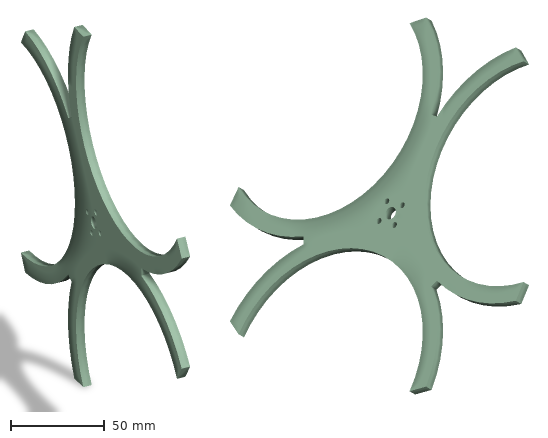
import cadquery as cq
import math

height = 217.8
thickness = 5.0

bite_count = 3
bite_pitch = 360 / bite_count
first_bite_angle = 60.0
bite_centre_distance = 87.8
bite_radius = 65.1
prong_outer_radius = 75.0
fork_floor_distance = 57.3

hub_hole_diameter = 7.0
bolt_hole_diameter = 3.3
bolt_circle_radius = 8.0
bolt_count = 4
first_bolt_angle = 72.0


def rotated(point, angle):
    """Turn a point about the hub by an angle in degrees."""
    c = math.cos(math.radians(angle))
    s = math.sin(math.radians(angle))
    return (point[0] * c - point[1] * s, point[0] * s + point[1] * c)


def mirrored(point):
    """Reflect a point across the first axis."""
    return (point[0], -point[1])


def on_prong_circle(angle):
    """Point on the outer prong circle, in a frame whose first axis runs from the hub to the bite centre."""
    turn = math.radians(angle)
    return (
        bite_centre_distance + prong_outer_radius * math.cos(turn),
        prong_outer_radius * math.sin(turn),
    )


bite_centre_height = bite_centre_distance * math.sin(math.radians(first_bite_angle))
tip_rise = math.asin((height / 2 - bite_centre_height) / prong_outer_radius)
tip_angle = 180 - math.degrees(tip_rise) - first_bite_angle

half_pitch = bite_pitch / 2
bite_along_arm = bite_centre_distance * math.cos(math.radians(half_pitch))
floor_offset = math.acos((fork_floor_distance - bite_along_arm) / prong_outer_radius)
floor_angle = half_pitch + math.degrees(floor_offset)

inner_end = (bite_centre_distance, bite_radius)
waist = (bite_centre_distance - bite_radius, 0)
outer_tip = on_prong_circle(tip_angle)
prong_middle = on_prong_circle((tip_angle + floor_angle) / 2)
fork_corner = on_prong_circle(floor_angle)


def back_plane():
    """Workplane on the +Y face of the plate, with extrusions running toward -Y."""
    return cq.Workplane("XZ").workplane(offset=-thickness / 2)


def make_plate():
    """Closed outline: each bite adds two prongs and the fork floor leading to the next bite."""
    outline = back_plane().moveTo(*rotated(mirrored(fork_corner), first_bite_angle))
    for i in range(bite_count):
        angle = first_bite_angle + i * bite_pitch
        outline = (
            outline
            .threePointArc(rotated(mirrored(prong_middle), angle), rotated(mirrored(outer_tip), angle))
            .lineTo(*rotated(mirrored(inner_end), angle))
            .threePointArc(rotated(waist, angle), rotated(inner_end, angle))
            .lineTo(*rotated(outer_tip, angle))
            .threePointArc(rotated(prong_middle, angle), rotated(fork_corner, angle))
        )
        if i < bite_count - 1:
            outline = outline.lineTo(*rotated(mirrored(fork_corner), angle + bite_pitch))
    return outline.close().extrude(thickness)


def make_hub_holes():
    """Central bore and its ring of bolt holes, as cutting cylinders."""
    bore = back_plane().circle(hub_hole_diameter / 2).extrude(thickness)
    bolts = (
        back_plane()
        .polarArray(bolt_circle_radius, first_bolt_angle, 360, bolt_count)
        .circle(bolt_hole_diameter / 2)
        .extrude(thickness)
    )
    return bore.union(bolts)


result = make_plate().cut(make_hub_holes())